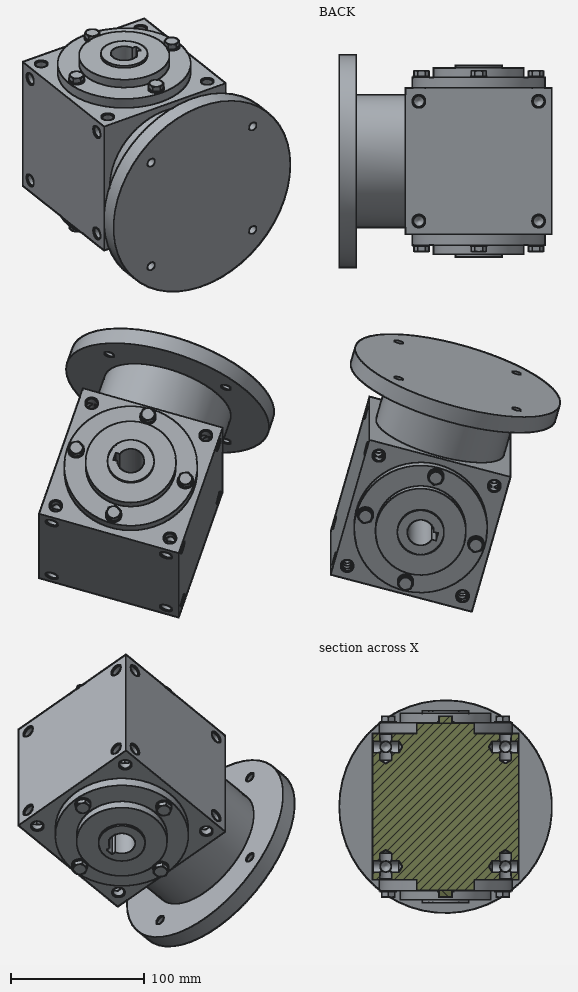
import cadquery as cq
import math


COUNTERSINK_ANGLE = 90.0

CUBE_SIDE = 110.0
CUBE_HALF = CUBE_SIDE / 2

COVER_DIAMETER = 100.0
COVER_FACE_Z = 63.0
BOSS_DIAMETER = 68.0
BOSS_FACE_Z = 70.0

NECK_DIAMETER = 100.0
FLANGE_DIAMETER = 160.0
FLANGE_THICKNESS = 13.0
OVERALL_LENGTH = 160.0
FLANGE_END_X = OVERALL_LENGTH - CUBE_HALF
FLANGE_BACK_X = FLANGE_END_X - FLANGE_THICKNESS
FLANGE_HOLE_DIAMETER = 6.7
FLANGE_HOLE_MOUTH_DIAMETER = 8.0
FLANGE_HOLE_CIRCLE = 130.0
FLANGE_HOLE_COUNT = 4

CORNER_HOLE_DIAMETER = 8.3
CORNER_HOLE_MOUTH_DIAMETER = 10.0
CORNER_HOLE_DEPTH = 20.0
CORNER_HOLE_SPACING = 90.0
CORNER_HOLE_TIP_ANGLE = 118.0

SHAFT_DIAMETER = 35.0
SHAFT_END_Z = 72.0
SHAFT_BORE_DIAMETER = 20.0
KEYWAY_WIDTH = 6.0
KEYWAY_TOP_Y = 12.8

BOLT_CIRCLE = 86.0
BOLTS_PER_COVER = 4
HEX_SIDES = 6
HEX_ACROSS_FLATS = 10.0
HEAD_HEIGHT = 5.0
HEAD_COLLAR_DIAMETER = 12.0
HEAD_COLLAR_HEIGHT = 0.8
HEAD_CHAMFER_ANGLE = 30.0


def centred_cylinder(diameter, half_length):
    """Cylinder along Z, centred on the origin."""
    return cq.Workplane("XY").circle(diameter / 2).extrude(half_length, both=True)


def corner_hole_cutter():
    """Countersunk blind hole with a conical tip, running down from z = 0."""
    radius = CORNER_HOLE_DIAMETER / 2
    mouth_radius = CORNER_HOLE_MOUTH_DIAMETER / 2
    countersink_depth = (mouth_radius - radius) / math.tan(math.radians(COUNTERSINK_ANGLE / 2))
    tip_depth = radius / math.tan(math.radians(CORNER_HOLE_TIP_ANGLE / 2))
    return (
        cq.Workplane("XZ")
        .lineTo(mouth_radius, 0)
        .lineTo(radius, -countersink_depth)
        .lineTo(radius, -CORNER_HOLE_DEPTH)
        .lineTo(0, -CORNER_HOLE_DEPTH - tip_depth)
        .close()
        .revolve(360, (0, 0, 0), (0, 1, 0))
    )


def top_face_hole_cutters():
    """The four corner hole cutters of the housing face at +Z."""
    offset = CORNER_HOLE_SPACING / 2
    cutter = corner_hole_cutter()
    return [
        cutter.translate((x, y, CUBE_HALF))
        for x in (-offset, offset)
        for y in (-offset, offset)
    ]


def drill_corner_holes(body):
    """Drill corner holes in the +Z, -Z, -Y, +Y and -X faces; the neck takes the +X face."""
    origin = (0, 0, 0)
    face_turns = [
        ((1, 0, 0), 0),
        ((1, 0, 0), 180),
        ((1, 0, 0), 90),
        ((1, 0, 0), -90),
        ((0, 1, 0), -90),
    ]
    for cutter in top_face_hole_cutters():
        for axis, angle in face_turns:
            body = body.cut(cutter.rotate(origin, axis, angle))
    return body


def make_neck_and_flange():
    """Neck and drilled motor flange on the +X side."""
    neck = (
        cq.Workplane("YZ", origin=(CUBE_HALF, 0, 0))
        .circle(NECK_DIAMETER / 2)
        .extrude(FLANGE_BACK_X - CUBE_HALF)
    )
    first_hole_angle = 180 / FLANGE_HOLE_COUNT
    flange = (
        cq.Workplane("YZ", origin=(FLANGE_BACK_X, 0, 0))
        .circle(FLANGE_DIAMETER / 2)
        .extrude(FLANGE_THICKNESS)
        .faces("<X")
        .workplane()
        .polarArray(FLANGE_HOLE_CIRCLE / 2, first_hole_angle, 360, FLANGE_HOLE_COUNT)
        .cskHole(FLANGE_HOLE_DIAMETER, FLANGE_HOLE_MOUTH_DIAMETER, COUNTERSINK_ANGLE)
    )
    return neck.union(flange)


def make_housing():
    """Housing with covers, neck and flange, bored for the shaft."""
    cube = cq.Workplane("XY").box(CUBE_SIDE, CUBE_SIDE, CUBE_SIDE)
    covers = centred_cylinder(COVER_DIAMETER, COVER_FACE_Z)
    bosses = centred_cylinder(BOSS_DIAMETER, BOSS_FACE_Z)
    body = cube.union(covers).union(bosses).union(make_neck_and_flange())
    body = drill_corner_holes(body)
    return body.cut(centred_cylinder(SHAFT_DIAMETER, BOSS_FACE_Z))


def make_shaft():
    """Hollow shaft with a keyway through its full length."""
    shaft = centred_cylinder(SHAFT_DIAMETER, SHAFT_END_Z)
    bore = centred_cylinder(SHAFT_BORE_DIAMETER, SHAFT_END_Z)
    keyway = (
        cq.Workplane("XY")
        .center(0, KEYWAY_TOP_Y / 2)
        .rect(KEYWAY_WIDTH, KEYWAY_TOP_Y)
        .extrude(SHAFT_END_Z, both=True)
    )
    return shaft.cut(bore).cut(keyway)


def make_bolt_head():
    """Hexagon head seated on z = 0, with a round collar below and chamfered corners on top."""
    flat_radius = HEX_ACROSS_FLATS / 2
    corner_diameter = HEX_ACROSS_FLATS / math.cos(math.pi / HEX_SIDES)
    corner_radius = corner_diameter / 2
    chamfer_drop = (corner_radius - flat_radius) * math.tan(math.radians(HEAD_CHAMFER_ANGLE))
    hexagon = cq.Workplane("XY").polygon(HEX_SIDES, corner_diameter).extrude(HEAD_HEIGHT)
    chamfer_envelope = (
        cq.Workplane("XZ")
        .lineTo(corner_radius, 0)
        .lineTo(corner_radius, HEAD_HEIGHT - chamfer_drop)
        .lineTo(flat_radius, HEAD_HEIGHT)
        .lineTo(0, HEAD_HEIGHT)
        .close()
        .revolve(360, (0, 0, 0), (0, 1, 0))
    )
    collar = cq.Workplane("XY").circle(HEAD_COLLAR_DIAMETER / 2).extrude(HEAD_COLLAR_HEIGHT)
    return hexagon.intersect(chamfer_envelope).union(collar)


def make_bolts():
    """Bolt heads on both covers, all turned the same way, with two hexagon corners along X."""
    bolts = []
    for number in range(BOLTS_PER_COVER):
        angle = 2 * math.pi * number / BOLTS_PER_COVER
        x = BOLT_CIRCLE / 2 * math.cos(angle)
        y = BOLT_CIRCLE / 2 * math.sin(angle)
        upper_bolt = make_bolt_head().translate((x, y, COVER_FACE_Z))
        lower_bolt = upper_bolt.mirror("XY")
        bolts += [upper_bolt.val(), lower_bolt.val()]
    return bolts


housing = make_housing()
shaft = make_shaft()
bolts = make_bolts()

result = cq.Compound.makeCompound([housing.val(), shaft.val(), *bolts])